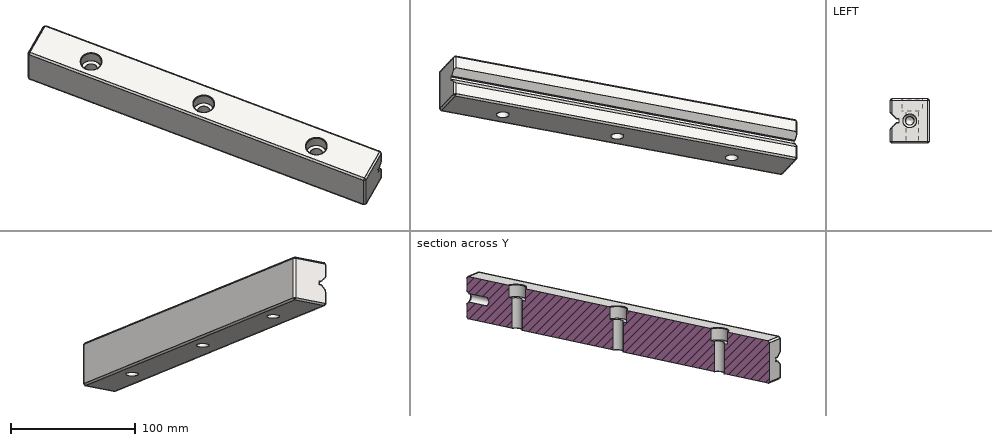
import cadquery as cq

length = 300.0
width = 31.9
height = 36.0
edge_chamfer = 1.5

groove_opening = 13.6
relief_width = 3.0
groove_depth = 7.2
groove_flank_depth = (groove_opening - relief_width) / 2

mount_hole_diameter = 10.3
counterbore_diameter = 16.5
counterbore_depth = 10.3
counterbore_chamfer = 0.5
mount_hole_count = 3
mount_hole_pitch = 100.0
mount_hole_y = 14.0

end_hole_diameter = 6.8
end_countersink_diameter = 11.0
end_hole_depth = 20.0
drill_point_depth = 2.0
end_hole_y = width / 2


def make_bar():
    bar = cq.Workplane("XY").box(length, width, height, centered=False)
    return bar.edges().chamfer(edge_chamfer)


def make_groove():
    middle_z = height / 2
    flank_y = width - groove_flank_depth
    bottom_y = width - groove_depth
    opening_half = groove_opening / 2
    relief_half = relief_width / 2
    outline = [
        (width, middle_z - opening_half),
        (flank_y, middle_z - relief_half),
        (bottom_y, middle_z - relief_half),
        (bottom_y, middle_z + relief_half),
        (flank_y, middle_z + relief_half),
        (width, middle_z + opening_half),
    ]
    return cq.Workplane("YZ").polyline(outline).close().extrude(length)


def make_mount_hole(x):
    """Stepped cutter: through hole, counterbore and a small chamfer at its mouth."""
    hole_radius = mount_hole_diameter / 2
    bore_radius = counterbore_diameter / 2
    outline = [
        (0, 0),
        (hole_radius, 0),
        (hole_radius, height - counterbore_depth),
        (bore_radius, height - counterbore_depth),
        (bore_radius, height - counterbore_chamfer),
        (bore_radius + counterbore_chamfer, height),
        (0, height),
    ]
    cutter = cq.Workplane("XZ").polyline(outline).close().revolve(360, (0, 0), (0, 1))
    return cutter.translate((x, mount_hole_y, 0))


def make_end_hole():
    """Blind hole in the -X end, with a 45 degree countersink and a drill point."""
    hole_radius = end_hole_diameter / 2
    countersink_radius = end_countersink_diameter / 2
    outline = [
        (0, 0),
        (0, countersink_radius),
        (countersink_radius - hole_radius, hole_radius),
        (end_hole_depth, hole_radius),
        (end_hole_depth + drill_point_depth, 0),
    ]
    cutter = cq.Workplane("XY").polyline(outline).close().revolve(360, (0, 0), (1, 0))
    return cutter.translate((0, end_hole_y, height / 2))


result = make_bar().cut(make_groove()).cut(make_end_hole())
first_hole_x = (length - (mount_hole_count - 1) * mount_hole_pitch) / 2
for index in range(mount_hole_count):
    result = result.cut(make_mount_hole(first_hole_x + index * mount_hole_pitch))